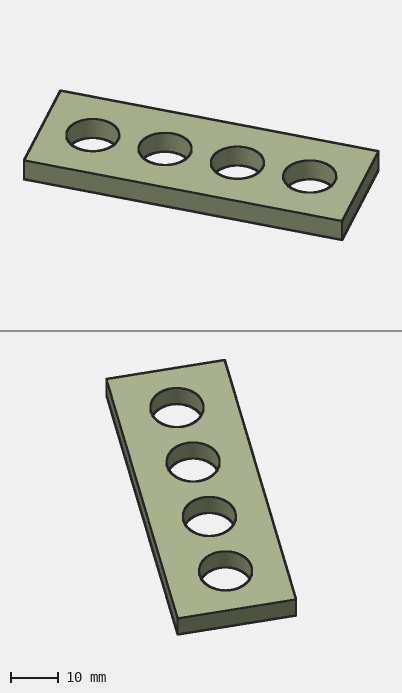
import cadquery as cq

length = 69.85
width = 25.4
thickness = 5.0

hole_count = 4
hole_diameter = 11.1125
hole_pitch = 15.875


def make_plate():
    """Flat rectangular plate standing on the XY plane."""
    return cq.Workplane("XY").box(length, width, thickness, centered=(True, True, False))


def cut_hole_row(plate):
    """Cut the evenly spaced through holes along the X centre line."""
    return (
        plate.faces(">Z")
        .workplane(origin=(0, 0, thickness))
        .rarray(hole_pitch, width, hole_count, 1)
        .hole(hole_diameter)
    )


result = cut_hole_row(make_plate())